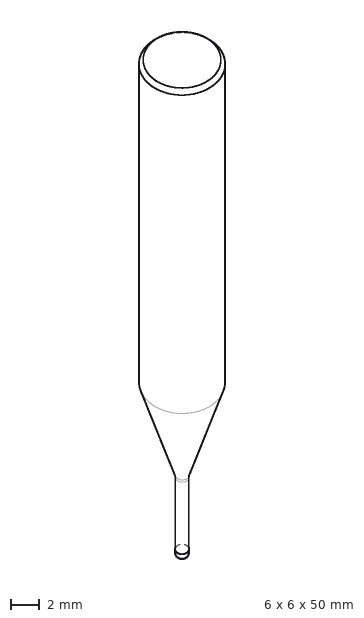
import cadquery as cq
import math

TOOL_LENGTH = 50.0
SHANK_RADIUS = 3.0
SHANK_CHAMFER = 0.4
SHANK_CHAMFER_INSET = 0.3

BALL_RADIUS = 0.5
TIP_LENGTH = 0.8

NECK_RADIUS = 0.475
NECK_TOP = 8.05
TAPER_HALF_ANGLE = math.radians(15)
BLEND_RADIUS = 1.0


def revolve_profile(profile):
    """Revolve a closed half profile, drawn as (radius, height), about Z."""
    return profile.close().revolve(360, (0, 0, 0), (0, 1, 0))


def make_cutting_tip():
    """Hemispherical nose with a short cylindrical land above it."""
    arc_middle = BALL_RADIUS * math.sqrt(0.5)
    profile = (
        cq.Workplane("XZ")
        .moveTo(0, 0)
        .threePointArc((arc_middle, BALL_RADIUS - arc_middle), (BALL_RADIUS, BALL_RADIUS))
        .lineTo(BALL_RADIUS, TIP_LENGTH)
        .lineTo(0, TIP_LENGTH)
    )
    return revolve_profile(profile)


def blend_point(angle):
    """Point on the concave neck blend where its wall leans outward by the given angle."""
    radius = NECK_RADIUS + BLEND_RADIUS * (1 - math.cos(angle))
    height = NECK_TOP + BLEND_RADIUS * math.sin(angle)
    return radius, height


def make_holder():
    """Slender neck, tangent blend, long taper and chamfered shank."""
    blend_middle = blend_point(TAPER_HALF_ANGLE / 2)
    taper_start = blend_point(TAPER_HALF_ANGLE)
    taper_length = (SHANK_RADIUS - taper_start[0]) / math.tan(TAPER_HALF_ANGLE)
    taper_top = taper_start[1] + taper_length
    profile = (
        cq.Workplane("XZ")
        .moveTo(0, TIP_LENGTH)
        .lineTo(NECK_RADIUS, TIP_LENGTH)
        .lineTo(NECK_RADIUS, NECK_TOP)
        .threePointArc(blend_middle, taper_start)
        .lineTo(SHANK_RADIUS, taper_top)
        .lineTo(SHANK_RADIUS, TOOL_LENGTH - SHANK_CHAMFER)
        .lineTo(SHANK_RADIUS - SHANK_CHAMFER_INSET, TOOL_LENGTH)
        .lineTo(0, TOOL_LENGTH)
    )
    return revolve_profile(profile)


cutting_tip = make_cutting_tip()
holder = make_holder()

result = cq.Compound.makeCompound([cutting_tip.val(), holder.val()])